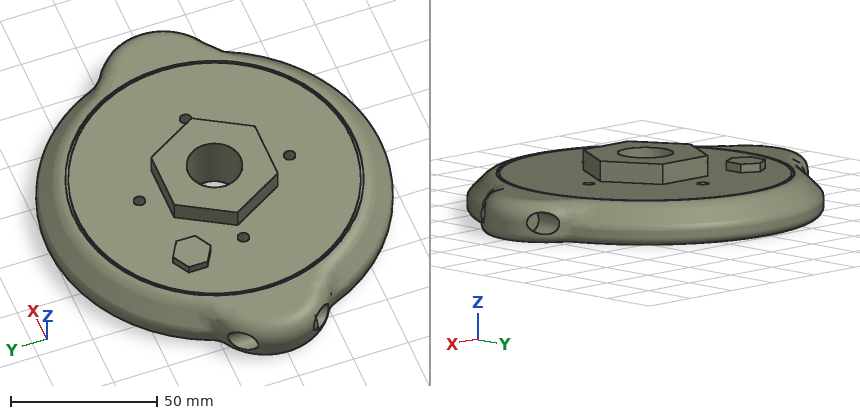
import cadquery as cq
import math

overall_length = 141.0
disc_radius = 60.98
plate_height = 14.0
disc_chamfer = 7.5
top_round = 6.9
edge_round = 3.0
ear_radius = 22.0
ear_center_x = overall_length / 2 - ear_radius
ear_blend = 7.0

cross_hole_diameter = 7.5
cross_hole_x = 64.3
cross_hole_z = 7.0
pin_front_y = -11.7
pin_back_y = 8.5

groove_outer_diameter = 102.0
groove_inner_diameter = 100.0
groove_depth = 1.0
screw_hole_diameter = 4.0
screw_circle_diameter = 55.0
screw_hole_depth = 7.0
screw_count = 4

overall_height = 21.0
hub_across_flats = 37.9
bore_diameter = 19.0
stud_across_flats = 12.0
stud_height = 3.0
stud_x = -29.0
stud_y = 19.5


def hex_prism(across_flats, height, turn):
    """Upright hexagon on Z = 0, with a corner on +X before it is turned about Z (degrees)."""
    corner_diameter = across_flats / math.cos(math.pi / 6)
    prism = cq.Workplane("XY").polygon(6, corner_diameter).extrude(height)
    return prism.rotate((0, 0, 0), (0, 0, 1), turn)


def make_disc():
    disc = cq.Workplane("XY").circle(disc_radius).extrude(plate_height)
    disc = disc.faces(">Z").chamfer(disc_chamfer)
    return disc.faces("%CYLINDER").edges(">Z").fillet(edge_round)


def make_ears():
    centers = [(-ear_center_x, 0), (ear_center_x, 0)]
    return cq.Workplane("XY").pushPoints(centers).circle(ear_radius).extrude(plate_height)


def is_ear_corner(edge):
    """True for the rising edges where an ear wall meets the side of the disc."""
    rises = edge.BoundingBox().zlen > edge_round / 10
    return rises and abs(edge.Center().y) > ear_radius / 2


def make_plate():
    plate = make_disc().union(make_ears())
    corners = [edge for edge in plate.edges().vals() if is_ear_corner(edge)]
    plate = plate.newObject(corners).fillet(ear_blend)
    plate = plate.faces(">Z").edges().fillet(top_round)
    return plate.faces("<Z").edges().fillet(edge_round)


def make_cross_cylinders(front_y, back_y):
    """One cylinder per ear on the cross hole axis, reaching from front_y to back_y."""
    centers = [(-cross_hole_x, cross_hole_z), (cross_hole_x, cross_hole_z)]
    return (
        cq.Workplane("XZ", origin=(0, back_y, 0))
        .pushPoints(centers)
        .circle(cross_hole_diameter / 2)
        .extrude(back_y - front_y)
    )


def make_groove():
    return (
        cq.Workplane("XY", origin=(0, 0, plate_height))
        .circle(groove_outer_diameter / 2)
        .circle(groove_inner_diameter / 2)
        .extrude(-groove_depth)
    )


def make_screw_holes():
    return (
        cq.Workplane("XY", origin=(0, 0, plate_height))
        .polarArray(screw_circle_diameter / 2, 0, 360, screw_count)
        .circle(screw_hole_diameter / 2)
        .extrude(-screw_hole_depth)
    )


hub = hex_prism(hub_across_flats, overall_height, 0)
stud = hex_prism(stud_across_flats, plate_height + stud_height, 30).translate((stud_x, stud_y, 0))
bore = cq.Workplane("XY").circle(bore_diameter / 2).extrude(overall_height)

result = (
    make_plate()
    .cut(make_cross_cylinders(-ear_radius, ear_radius))
    .union(make_cross_cylinders(pin_front_y, pin_back_y))
    .cut(make_groove())
    .cut(make_screw_holes())
    .union(hub)
    .union(stud)
    .cut(bore)
)